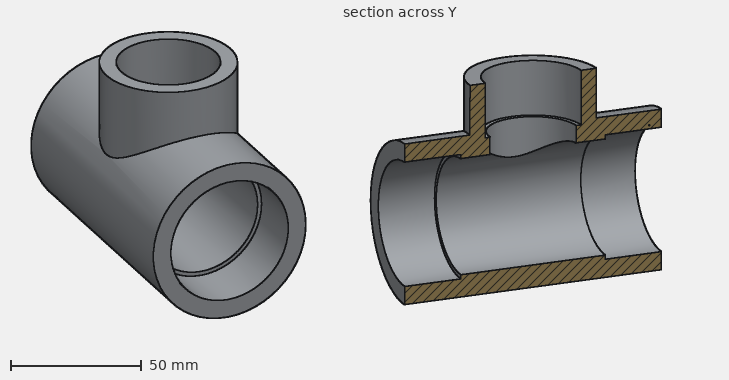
import cadquery as cq

run_length = 107.5
run_diameter = 65.0
run_socket_diameter = 50.0
run_bore_diameter = 46.67
run_socket_depth = 23.5

overall_height = 85.0
branch_diameter = 53.0
branch_socket_diameter = 40.0
branch_bore_diameter = 36.0
branch_socket_depth = 22.0

branch_height = overall_height - run_diameter / 2


def run_cylinder(diameter, start_x, length):
    """Cylinder along the run axis, from start_x towards +X."""
    return cq.Workplane("YZ").workplane(offset=start_x).circle(diameter / 2).extrude(length)


def branch_cylinder(diameter, start_z, length):
    """Cylinder along the branch axis, from start_z towards +Z."""
    return cq.Workplane("XY").workplane(offset=start_z).circle(diameter / 2).extrude(length)


def make_body():
    """Solid outer shape: the run with the branch standing on it."""
    run = run_cylinder(run_diameter, -run_length / 2, run_length)
    branch = branch_cylinder(branch_diameter, 0, branch_height)
    return run.union(branch)


def cut_run(body):
    """Through bore along the run, with a wider pipe socket at each end."""
    body = body.cut(run_cylinder(run_bore_diameter, -run_length / 2, run_length))
    for start_x in (-run_length / 2, run_length / 2 - run_socket_depth):
        body = body.cut(run_cylinder(run_socket_diameter, start_x, run_socket_depth))
    return body


def cut_branch(body):
    """Branch bore opening into the run bore, with a pipe socket at the mouth."""
    body = body.cut(branch_cylinder(branch_bore_diameter, 0, branch_height))
    socket_floor = branch_height - branch_socket_depth
    return body.cut(branch_cylinder(branch_socket_diameter, socket_floor, branch_socket_depth))


result = cut_branch(cut_run(make_body()))